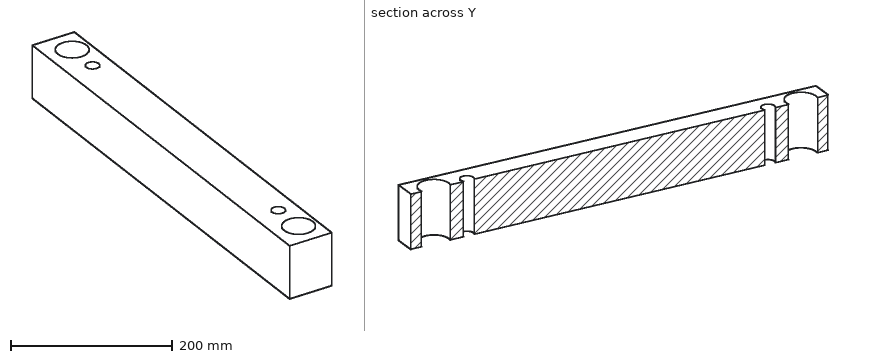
import cadquery as cq

length = 596.0
width = 62.0
height = 76.0

large_diameter = 42.0
large_spacing = 524.0
small_diameter = 18.0
small_spacing = 430.0
hole_row_offset = 5.0


def make_bar():
    return cq.Workplane("XY").box(length, width, height)


def drill_pair(body, diameter, spacing):
    """Drill two through holes, equally far from the middle of the bar."""
    centres = [(side * spacing / 2, hole_row_offset) for side in (-1, 1)]
    return body.faces(">Z").workplane(origin=(0, 0, 0)).pushPoints(centres).hole(diameter)


result = make_bar()
result = drill_pair(result, large_diameter, large_spacing)
result = drill_pair(result, small_diameter, small_spacing)